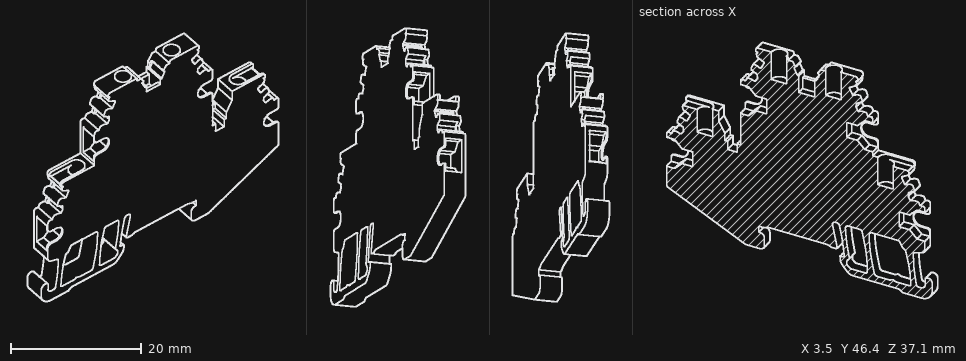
import cadquery as cq
import math

THICKNESS = 3.5
LENGTH = 46.35
HEIGHT = 37.06

BACK = LENGTH / 2
FRONT = -LENGTH / 2
LOWER_TOP = 23.5
UPPER_MID = -1.26
UPPER_HALF = 11.54
UPPER_FRONT = UPPER_MID - UPPER_HALF
UPPER_BACK = UPPER_MID + UPPER_HALF
LOWER_FRONT = -21.89

NOTCH_HALF = 1.34
NOTCH_FLOOR = 33.15
NOTCH_STEP_HALF = 1.6
NOTCH_STEP_Z = 34.18
NOTCH_STEP_TOP = 35.22
NOTCH_LEDGE_Z = 36.48
NOTCH_MOUTH_HALF = 3.15
NOTCH_UNDERCUT_ROOT = (2.19, 35.35)
NOTCH_UNDERCUT_LIP = (1.88, 35.62)
NOTCH_SKIN = 0.55
NOTCH_RECESS_X = (0.7, 2.92)
NOTCH_RECESS_DEPTH = 2.0

BACK_NOTCH_FLOOR = 19.45
BACK_NOTCH_EDGE = 12.97
BACK_NOTCH_RAMP_FOOT = 19.75
BACK_NOTCH_RAMP_HEAD = 21.66
BACK_TERMINAL_REAR = 14.06
BACK_NOTCH_SKIN = 0.7
BACK_TRENCH = (UPPER_BACK, BACK_NOTCH_EDGE)
BACK_TRENCH_DEPTH = 1.0
BACK_SLOT = (10.88, 12.5)
BACK_SLOT_DEPTH = 2.5

VALLEY_SKIN = 0.54

LEG_CURVE = 22.0
LEG_TOP = 9.28

HOLE_RADIUS = 1.3
HOLE_X = 1.84
HOLE_DEPTH = 5.0
UPPER_HOLES_Y = (-5.93, 3.57)
LOWER_FRONT_HOLE_Y = -15.0
LOWER_BACK_HOLE_Y = 16.5
SLOT_DEPTH = 0.87

ENTRY_X = (0.66, 3.26)
ENTRY_TOP_DROP = 7.65
ENTRY_HEIGHT = 5.2
ENTRY_STRAIGHT = 1.4
ENTRY_TAPER = 1.3
ENTRY_DEPTH = 4.5
WINDOW_STRAIGHT = 1.6
WINDOW_RADIUS = 1.3
WINDOW_FLARE = 0.5


def rounded_prism(corners, x_start, x_end):
    """Extrude a closed outline of (y, z, corner radius) along X."""
    wire = cq.Workplane("YZ", origin=(x_start, 0, 0))
    count = len(corners)
    for index, (y, z, radius) in enumerate(corners):
        here = cq.Vector(y, z)
        to_last = (cq.Vector(*corners[index - 1][:2]) - here).normalized()
        to_next = (cq.Vector(*corners[(index + 1) % count][:2]) - here).normalized()
        half_angle = to_last.getAngle(to_next) / 2
        setback = radius / math.tan(half_angle)
        arc_start = here + to_last * setback
        draw_to = wire.moveTo if index == 0 else wire.lineTo
        wire = draw_to(arc_start.x, arc_start.y)
        if radius > 0:
            bisector = (to_last + to_next).normalized()
            arc_mid = here + bisector * (radius / math.sin(half_angle) - radius)
            arc_end = here + to_next * setback
            wire = wire.threePointArc((arc_mid.x, arc_mid.y), (arc_end.x, arc_end.y))
    return wire.close().extrude(x_end - x_start)


def box(x_range, y_range, z_range):
    """Axis-aligned block from its three ranges."""
    size = [high - low for low, high in (x_range, y_range, z_range)]
    return cq.Workplane("XY").box(*size, centered=False).translate((x_range[0], y_range[0], z_range[0]))


FLANK = [
    (2.62, 0.0, 0.5),
    (2.62, 0.75, 0.1),
    (2.95, 0.92, 0.0),
    (2.72, 1.2, 0.1),
    (2.85, 1.72, 0.2),
    (3.72, 2.18, 0.0),
    (3.16, 3.44, 0.0),
    (2.8, 3.22, 0.1),
    (2.15, 3.22, 0.4),
    (1.75, 4.3, 0.25),
    (2.6, 4.8, 0.0),
    (2.18, 6.12, 0.0),
    (1.9, 6.0, 0.1),
    (1.12, 6.0, 0.35),
    (0.85, 6.65, 0.0),
    (0.5, 6.55, 0.03),
    (0.0, 6.55, 0.45),
]
DEEP_VALLEYS = (
    [(2.85, 1.72, 0), (4.05, 2.36, 0), (4.05, 2.5, 0), (3.5, 3.57, 0), (3.16, 3.44, 0)],
    [(1.9, 4.38, 0), (2.88, 4.95, 0), (2.93, 5.58, 0), (2.53, 6.24, 0), (2.18, 6.12, 0)],
)


def place(corners, wall, top, outward):
    """Move flank corners to a deck end; outward is +1 toward +Y, -1 toward -Y."""
    return [(wall - outward * inset, top - drop, radius) for inset, drop, radius in corners]


def flank(wall, top, outward):
    """Corners of one terminal flank, from lip to deck wall."""
    return place(FLANK, wall, top, outward)


def deepened_valleys(wall, top, outward):
    """Cutter for both tooth valleys behind the thin skin."""
    upper, lower = [
        rounded_prism(place(valley, wall, top, outward), VALLEY_SKIN, THICKNESS)
        for valley in DEEP_VALLEYS
    ]
    return upper.union(lower)


def notch_side(side):
    """One side of the upper notch, listed from its floor up to the terminal top."""
    steps = [
        (NOTCH_HALF, NOTCH_FLOOR, 0),
        (NOTCH_HALF, NOTCH_STEP_Z, 0),
        (NOTCH_STEP_HALF, NOTCH_STEP_Z, 0),
        (NOTCH_STEP_HALF, NOTCH_STEP_TOP, 0),
        (2.15, 36.0, 0),
        (2.45, NOTCH_LEDGE_Z, 0.3),
        (NOTCH_MOUTH_HALF, NOTCH_LEDGE_Z, 0),
        (NOTCH_MOUTH_HALF, HEIGHT, 0.35),
    ]
    return [(UPPER_MID + side * offset, z, radius) for offset, z, radius in steps]


def body():
    """Outer profile, listed from the back foot along the rail seat and around toward -Y."""
    foot_bottom = 0.45
    rail_top = 4.78
    rail_lip = 4.5

    back_foot = [
        (BACK, 6.9, 0.3),
        (9.4, foot_bottom, 1.2),
        (6.08, foot_bottom, 0.85),
        (6.08, 3.49, 0.8),
        (7.06, 3.49, 0),
        (7.06, rail_lip, 0),
        (6.17, rail_lip, 0.2),
        (5.47, rail_top, 0.2),
    ]
    rail_and_slit = [
        (-4.88, rail_top, 0.2),
        (-5.58, rail_lip, 0.2),
        (-6.68, rail_lip, 0.3),
        (-5.68, LEG_TOP, 0.45),
        (-6.85, LEG_TOP, 0.5),
        (-7.4, 6.6, LEG_CURVE),
        (-7.78, 3.52, 0.1),
    ]
    release_hook = [
        (-7.03, 3.4, 0.15),
        (-7.03, 2.3, 1.6),
        (-8.7, foot_bottom, 1.3),
        (-17.3, foot_bottom, 0.3),
        (-17.95, 0.0, 0.3),
        (FRONT, 0.0, 1.9),
        (FRONT, 4.08, 0.78),
        (-21.8, 4.08, 0.55),
        (-21.9, 1.96, 0.7),
        (-20.45, 1.96, 0.4),
        (-19.9, 5.5, LEG_CURVE),
        (-19.9, 7.87, 0.25),
        (LOWER_FRONT, 8.45, 0.8),
    ]
    corners = [
        *back_foot,
        *rail_and_slit,
        *release_hook,
        *reversed(flank(LOWER_FRONT, LOWER_TOP, -1)),
        (UPPER_FRONT, LOWER_TOP, 0),
        *reversed(flank(UPPER_FRONT, HEIGHT, -1)),
        *reversed(notch_side(-1)),
        *notch_side(1),
        *flank(UPPER_BACK, HEIGHT, 1),
        (UPPER_BACK, BACK_NOTCH_FLOOR, 0),
        (BACK_NOTCH_EDGE, BACK_NOTCH_FLOOR, 0),
        (BACK_NOTCH_EDGE, BACK_NOTCH_RAMP_FOOT, 0),
        (BACK_TERMINAL_REAR, BACK_NOTCH_RAMP_HEAD, 0),
        (BACK_TERMINAL_REAR, LOWER_TOP, 0),
        *flank(BACK, LOWER_TOP, 1),
    ]
    return rounded_prism(corners, 0, THICKNESS)


def hook_windows():
    """The two through windows between the spring legs of the release hook."""
    window_bottom = 1.7
    rear = [
        (-8.0, LEG_TOP, 0.5),
        (-8.25, 6.2, LEG_CURVE),
        (-8.75, 3.5, 0.2),
        (-8.3, 2.9, 0.3),
        (-8.3, 2.2, 0.25),
        (-8.85, window_bottom, 0.2),
        (-11.82, window_bottom, 0.3),
        (-11.65, 5.3, LEG_CURVE),
        (-10.8, LEG_TOP, 0.4),
    ]
    front = [
        (-12.2, LEG_TOP, 0.4),
        (-12.2, 6.4, LEG_CURVE),
        (-13.15, window_bottom, 0.5),
        (-15.75, window_bottom, 0.1),
        (-16.25, 1.95, 0.2),
        (-16.75, window_bottom, 0.1),
        (-19.37, window_bottom, 0.2),
        (-19.2, 4.9, LEG_CURVE),
        (-18.4, 7.95, 0.2),
        (-17.9, 8.25, 0.3),
        (-17.35, LEG_TOP, 0.3),
    ]
    return rounded_prism(rear, 0, THICKNESS).union(rounded_prism(front, 0, THICKNESS))


def screw_hole(y, top):
    """Blind round hole going down from a terminal top."""
    return cq.Workplane("XY", origin=(HOLE_X, y, top)).circle(HOLE_RADIUS).extrude(-HOLE_DEPTH)


def screw_slot(hole_y, wall):
    """Shallow slot, as wide as the hole, from a lower screw hole to the deck end."""
    x_range = (HOLE_X - HOLE_RADIUS, HOLE_X + HOLE_RADIUS)
    return box(x_range, sorted((hole_y, wall)), (LOWER_TOP - SLOT_DEPTH, LOWER_TOP))


def wire_entry(wall, top, outward):
    """Funnelled pocket in a deck wall, with a round-ended window through the thin +X wall."""
    ceiling = top - ENTRY_TOP_DROP
    floor = ceiling - ENTRY_HEIGHT
    funnel_end = ENTRY_STRAIGHT + ENTRY_TAPER
    half_pocket = [
        (0, 0),
        (ENTRY_STRAIGHT, 0),
        (funnel_end, ENTRY_TAPER),
        (ENTRY_DEPTH, ENTRY_TAPER),
    ]
    lower_edge = [(wall - outward * depth, floor + rise, 0) for depth, rise in half_pocket]
    upper_edge = [(wall - outward * depth, ceiling - drop, 0) for depth, drop in half_pocket]
    pocket = rounded_prism([*lower_edge, *reversed(upper_edge)], *ENTRY_X)

    axis = (floor + ceiling) / 2
    mouth_half = WINDOW_RADIUS + WINDOW_FLARE
    flare_mid = mouth_half - WINDOW_FLARE * math.sin(math.pi / 4)
    flare_mid_y = wall - outward * WINDOW_FLARE * (1 - math.cos(math.pi / 4))
    flare_end_y = wall - outward * WINDOW_FLARE
    round_start_y = wall - outward * WINDOW_STRAIGHT
    round_end_y = wall - outward * (WINDOW_STRAIGHT + WINDOW_RADIUS)
    window = (
        cq.Workplane("YZ", origin=(ENTRY_X[1], 0, 0))
        .moveTo(wall, axis - mouth_half)
        .threePointArc((flare_mid_y, axis - flare_mid), (flare_end_y, axis - WINDOW_RADIUS))
        .lineTo(round_start_y, axis - WINDOW_RADIUS)
        .threePointArc((round_end_y, axis), (round_start_y, axis + WINDOW_RADIUS))
        .lineTo(flare_end_y, axis + WINDOW_RADIUS)
        .threePointArc((flare_mid_y, axis + flare_mid), (wall, axis + mouth_half))
        .close()
        .extrude(THICKNESS - ENTRY_X[1])
    )
    return pocket.union(window)


def upper_notch_recess():
    """Recess below the upper notch and an undercut in each of its sides behind the skin."""
    y_range = (UPPER_MID - NOTCH_HALF, UPPER_MID + NOTCH_HALF)
    recess = box(NOTCH_RECESS_X, y_range, (NOTCH_FLOOR - NOTCH_RECESS_DEPTH, NOTCH_FLOOR))
    root_offset, root_z = NOTCH_UNDERCUT_ROOT
    lip_offset, lip_z = NOTCH_UNDERCUT_LIP
    for side in (-1, 1):
        mouth_y = UPPER_MID + side * NOTCH_STEP_HALF
        undercut = [
            (mouth_y, NOTCH_STEP_Z, 0),
            (UPPER_MID + side * root_offset, root_z, 0),
            (UPPER_MID + side * lip_offset, lip_z, 0),
            (mouth_y, NOTCH_STEP_TOP, 0),
        ]
        recess = recess.union(rounded_prism(undercut, NOTCH_SKIN, THICKNESS))
    return recess


def back_notch_recess():
    """Two-step trench in the floor of the back notch, open toward +X."""
    x_range = (BACK_NOTCH_SKIN, THICKNESS)
    trench = box(x_range, BACK_TRENCH, (BACK_NOTCH_FLOOR - BACK_TRENCH_DEPTH, BACK_NOTCH_FLOOR))
    slot = box(x_range, BACK_SLOT, (BACK_NOTCH_FLOOR - BACK_SLOT_DEPTH, BACK_NOTCH_FLOOR))
    return trench.union(slot)


DECK_ENDS = (
    (LOWER_FRONT, LOWER_TOP, -1),
    (UPPER_FRONT, HEIGHT, -1),
    (UPPER_BACK, HEIGHT, 1),
    (BACK, LOWER_TOP, 1),
)

result = body().cut(hook_windows())
for deck_end in DECK_ENDS:
    result = result.cut(deepened_valleys(*deck_end))
    result = result.cut(wire_entry(*deck_end))

for hole_y in UPPER_HOLES_Y:
    result = result.cut(screw_hole(hole_y, HEIGHT))

for hole_y, wall in ((LOWER_FRONT_HOLE_Y, LOWER_FRONT), (LOWER_BACK_HOLE_Y, BACK)):
    result = result.cut(screw_hole(hole_y, LOWER_TOP))
    result = result.cut(screw_slot(hole_y, wall))

result = result.cut(upper_notch_recess())
result = result.cut(back_notch_recess())